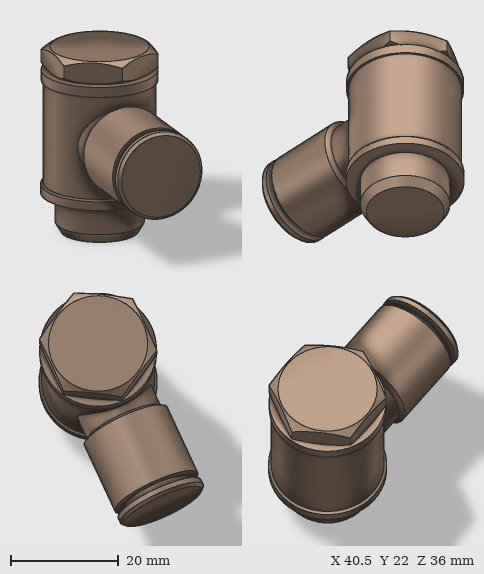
import cadquery as cq
import math

bolt_height = 36.0
hex_bottom = 31.5
collar_bottom = 29.52
housing_bottom = 9.48
seal_top = 9.15
seal_bottom = 7.45

hex_corner_diameter = 22.0
hex_crown_diameter = 18.43
hex_chamfer_angle = 30
shank_diameter = 16.7
tip_diameter = 14.5
tip_chamfer_height = 1.85

collar_diameter = 21.8
seal_diameter = 22.0
barrel_diameter = 21.0

branch_height = 19.4
neck_diameter = 15.0
socket_diameter = 17.0
socket_start = 12.0
socket_end = 26.5
socket_cone_length = 0.6

button_stem_diameter = 12.9
button_flange_diameter = 17.0
button_flange_start = 27.95
button_root_length = 0.12
button_root_angle = 45
overall_length = 40.5
button_end = overall_length - hex_corner_diameter / 2
button_chamfer = 0.55


def cylinder_z(diameter, bottom, top):
    """Upright cylinder on the bolt axis."""
    return cq.Workplane("XY").workplane(offset=bottom).circle(diameter / 2).extrude(top - bottom)


def cylinder_x(diameter, start, end, flare_angle=0):
    """Cylinder on the branch axis, or a cone that widens by the flare angle."""
    plane = cq.Workplane("YZ", origin=(start, 0, branch_height))
    return plane.circle(diameter / 2).extrude(end - start, taper=-flare_angle)


def ring(diameter, bottom, top):
    """Flat ring that fits around the bolt shank."""
    return cylinder_z(diameter, bottom, top).cut(cylinder_z(shank_diameter, bottom, top))


def make_hex_head():
    """Hexagonal head with its corners turned conically at both ends."""
    corner_radius = hex_corner_diameter / 2
    crown_radius = hex_crown_diameter / 2
    cone_height = (corner_radius - crown_radius) * math.tan(math.radians(hex_chamfer_angle))
    prism = (
        cq.Workplane("XY")
        .workplane(offset=hex_bottom)
        .polygon(6, hex_corner_diameter)
        .extrude(bolt_height - hex_bottom)
    )
    turned_envelope = (
        cq.Workplane("XZ")
        .moveTo(0, hex_bottom)
        .lineTo(crown_radius, hex_bottom)
        .lineTo(corner_radius, hex_bottom + cone_height)
        .lineTo(corner_radius, bolt_height - cone_height)
        .lineTo(crown_radius, bolt_height)
        .lineTo(0, bolt_height)
        .close()
        .revolve(360, (0, 0, 0), (0, 1, 0))
    )
    return prism.intersect(turned_envelope)


def make_bolt():
    """Hex head and plain shank with a tapered tip."""
    shank_radius = shank_diameter / 2
    shank = (
        cq.Workplane("XZ")
        .lineTo(tip_diameter / 2, 0)
        .lineTo(shank_radius, tip_chamfer_height)
        .lineTo(shank_radius, hex_bottom)
        .lineTo(0, hex_bottom)
        .close()
        .revolve(360, (0, 0, 0), (0, 1, 0))
    )
    return shank.union(make_hex_head())


def make_housing():
    """Barrel around the bolt with a side branch that widens into a tube socket."""
    barrel = cylinder_z(barrel_diameter, housing_bottom, collar_bottom)
    neck = cylinder_x(neck_diameter, 0, socket_start)
    cone_end = socket_start + socket_cone_length
    cone_angle = math.degrees(math.atan2((socket_diameter - neck_diameter) / 2, socket_cone_length))
    cone = cylinder_x(neck_diameter, socket_start, cone_end, cone_angle)
    socket = cylinder_x(socket_diameter, cone_end, socket_end)
    bolt_bore = cylinder_z(shank_diameter, housing_bottom, collar_bottom)
    return barrel.union(neck).union(cone).union(socket).cut(bolt_bore)


def make_release_button():
    """Short stem, small conical root and chamfered flange, resting on the end of the socket."""
    stem = cylinder_x(button_stem_diameter, socket_end, button_flange_start)
    flange = cylinder_x(button_flange_diameter, button_flange_start, button_end)
    flange = flange.faces(">X").edges().chamfer(button_chamfer)
    root_start = button_flange_start - button_root_length
    root = cylinder_x(button_stem_diameter, root_start, button_flange_start, button_root_angle)
    return stem.union(root).union(flange)


bolt = make_bolt()
collar = ring(collar_diameter, collar_bottom, hex_bottom)
housing = make_housing()
seal = ring(seal_diameter, seal_bottom, seal_top)
release_button = make_release_button()

result = cq.Compound.makeCompound(
    [bolt.val(), collar.val(), housing.val(), seal.val(), release_button.val()]
)